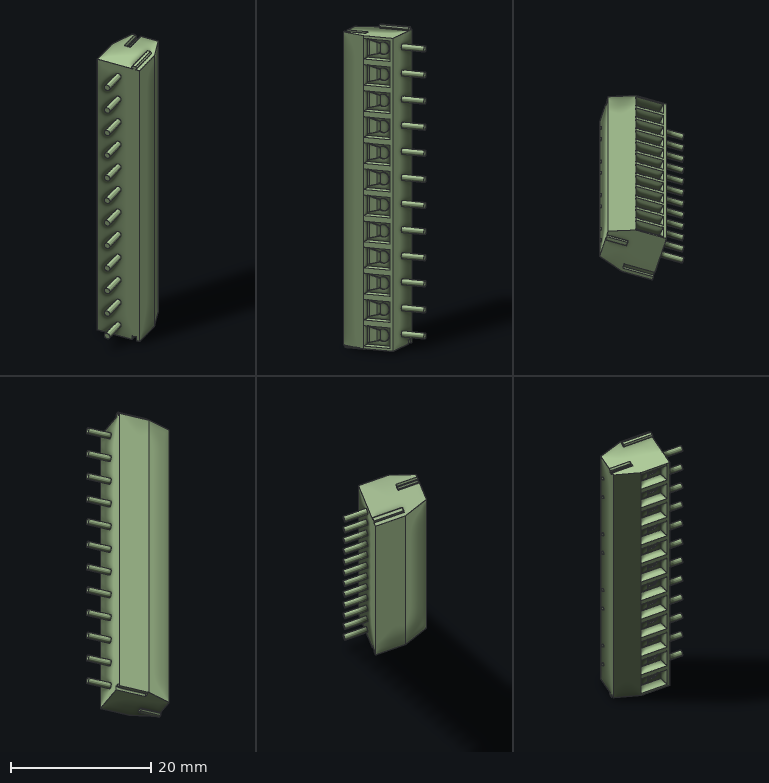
import cadquery as cq


POLES_PER_MODULE = 3
MODULES = 4
POLES = POLES_PER_MODULE * MODULES

OVERALL_LENGTH = 46.7
BODY_LENGTH = 45.7
PITCH = BODY_LENGTH / POLES
BODY_WIDTH = 6.8
BODY_DEPTH = 8.3
SHOULDER_DEPTH = 4.6
CREST_WIDTH = 4.15
LEFT = -BODY_WIDTH / 2
BOTTOM = -BODY_LENGTH / 2
TOP = BODY_LENGTH / 2

PIN_DIAMETER = 0.9
PIN_LENGTH = 3.5

POCKET_HEIGHT = 3.0
POCKET_DEPTH = 1.45
POCKET_START = 0.45
POCKET_DRAFT = 0.3
POCKET_FLOOR = LEFT + POCKET_DEPTH

RECESS_DIAMETER = 1.8
RECESS_DEPTH = 0.25
RECESS_Y = 2.15

PAD_HEIGHT = 0.35
PAD_START = 3.0
PAD_RAMP = 0.35
PAD_END_SLOPE = 0.4
PAD_NARROW = 1.7
PAD_WIDE = 2.5

KEY_HEIGHT = (OVERALL_LENGTH - BODY_LENGTH) / 2
KEY_OFFSET = 2.5
KEY_LENGTH = SHOULDER_DEPTH
KEY_WIDTH = 0.85
KEY_NARROW = 0.5
KEYWAY_WIDTH = 0.7
KEYWAY_DEPTH = 0.6

CREST_KEY_OFFSET = -1.15
CREST_KEY_LENGTH = 3.15
CREST_KEYWAY_LENGTH = 3.25
CREST_KEYWAY_WIDTH = 1.0
CREST_KEYWAY_FLOOR = 0.45
CREST_KEYWAY_LEAD = 0.25
CREST_KEYWAY_DEPTH = 0.55

DOME_OFFSET = 1.25
DOME_RADIUS = 0.25


def pole_height(index):
    return BOTTOM + (index + 0.5) * PITCH


def bar_along_y(profile, start, length):
    """Extrude an X-Z outline towards +Y from the given Y."""
    return cq.Workplane("XZ", origin=(0, start, 0)).polyline(profile).close().extrude(-length)


def taper_profile(x, levels):
    """Symmetric X-Z outline from (Z, width) levels."""
    right_side = [(x + width / 2, z) for z, width in levels]
    left_side = [(x - width / 2, z) for z, width in reversed(levels)]
    return right_side + left_side


def key_profile(x, face, height):
    """Hexagonal key outline standing on an end face; a negative height points to -Z."""
    return taper_profile(
        x,
        [(face, KEY_NARROW), (face + height / 2, KEY_WIDTH), (face + height, KEY_NARROW)],
    )


def make_body():
    half = BODY_WIDTH / 2
    crest = CREST_WIDTH / 2
    outline = [
        (-half, 0),
        (half, 0),
        (half, SHOULDER_DEPTH),
        (crest, BODY_DEPTH),
        (-crest, BODY_DEPTH),
        (-half, SHOULDER_DEPTH),
    ]
    return cq.Workplane("XY", origin=(0, 0, BOTTOM)).polyline(outline).close().extrude(BODY_LENGTH)


def make_pocket(z):
    outline = [
        (LEFT, POCKET_START),
        (LEFT, SHOULDER_DEPTH),
        (POCKET_FLOOR, SHOULDER_DEPTH),
        (POCKET_FLOOR, POCKET_START + POCKET_DRAFT),
    ]
    plane = cq.Workplane("XY", origin=(0, 0, z))
    return plane.polyline(outline).close().extrude(POCKET_HEIGHT / 2, both=True)


def make_recess(z):
    plane = cq.Workplane("YZ", origin=(POCKET_FLOOR, RECESS_Y, z))
    return plane.circle(RECESS_DIAMETER / 2).extrude(RECESS_DEPTH)


def make_pad(z):
    """Pad that widens towards the shoulder, with a ramp into the recess and a sloping far end."""
    root = POCKET_FLOOR + RECESS_DEPTH
    crown = POCKET_FLOOR - PAD_HEIGHT
    side = [
        (root, PAD_START - PAD_RAMP),
        (root, SHOULDER_DEPTH),
        (POCKET_FLOOR, SHOULDER_DEPTH),
        (crown, SHOULDER_DEPTH - PAD_END_SLOPE),
        (crown, PAD_START),
    ]
    plan = [
        (PAD_START - PAD_RAMP, -PAD_NARROW / 2),
        (PAD_START, -PAD_NARROW / 2),
        (SHOULDER_DEPTH, -PAD_WIDE / 2),
        (SHOULDER_DEPTH, PAD_WIDE / 2),
        (PAD_START, PAD_NARROW / 2),
        (PAD_START - PAD_RAMP, PAD_NARROW / 2),
    ]
    block = cq.Workplane("XY", origin=(0, 0, z)).polyline(side).close().extrude(PAD_WIDE, both=True)
    trim = cq.Workplane("YZ", origin=(crown, 0, z)).polyline(plan).close().extrude(root - crown)
    return block.intersect(trim)


def make_pin(z):
    return cq.Workplane("XZ", origin=(0, 0, z)).circle(PIN_DIAMETER / 2).extrude(PIN_LENGTH)


result = make_body()

for pole in range(POLES):
    pole_z = pole_height(pole)
    result = result.cut(make_pocket(pole_z)).cut(make_recess(pole_z))
    result = result.union(make_pad(pole_z)).union(make_pin(pole_z))

for joint in range(1, POLES):
    if joint % POLES_PER_MODULE:
        dome_centre = (DOME_OFFSET, BODY_DEPTH, BOTTOM + joint * PITCH)
        result = result.union(cq.Workplane("XY", origin=dome_centre).sphere(DOME_RADIUS))

key = key_profile(KEY_OFFSET, TOP, KEY_HEIGHT)
keyway = taper_profile(KEY_OFFSET, [(BOTTOM, KEYWAY_WIDTH), (BOTTOM + KEYWAY_DEPTH, KEYWAY_WIDTH)])
result = result.union(bar_along_y(key, 0, KEY_LENGTH))
result = result.cut(bar_along_y(keyway, 0, KEY_LENGTH))

crest_key = key_profile(CREST_KEY_OFFSET, BOTTOM, -KEY_HEIGHT)
crest_keyway = taper_profile(
    CREST_KEY_OFFSET,
    [
        (TOP, CREST_KEYWAY_WIDTH),
        (TOP - CREST_KEYWAY_LEAD, CREST_KEYWAY_FLOOR),
        (TOP - CREST_KEYWAY_DEPTH, CREST_KEYWAY_FLOOR),
    ],
)
result = result.union(bar_along_y(crest_key, BODY_DEPTH - CREST_KEY_LENGTH, CREST_KEY_LENGTH))
result = result.cut(bar_along_y(crest_keyway, BODY_DEPTH - CREST_KEYWAY_LENGTH, CREST_KEYWAY_LENGTH))